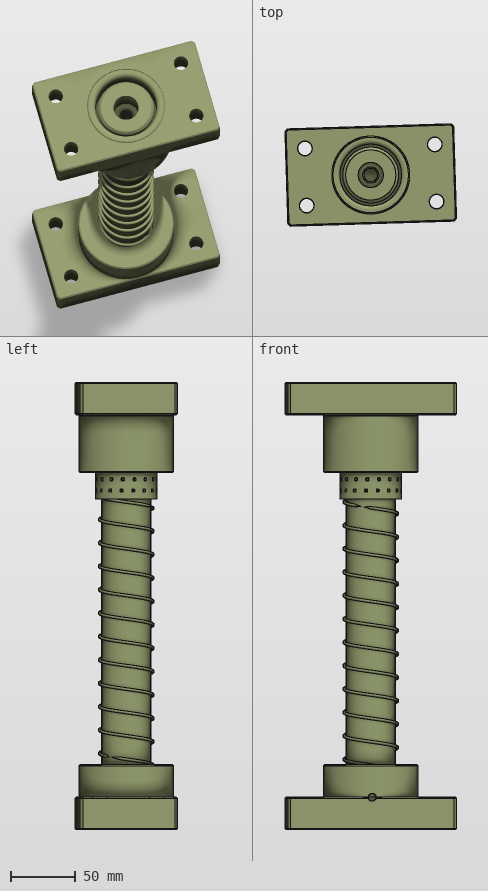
import cadquery as cq
import math

overall_height = 344.29
plate_thickness = 25.0
collar_height = 25.0
bushing_height = 44.5
cage_exposed = 20.3
pillar_head_height = 6.0
pillar_recess = 4.5

upper_plate_bottom = overall_height - plate_thickness
bushing_bottom = upper_plate_bottom - bushing_height
cage_bottom = bushing_bottom - cage_exposed
collar_top = plate_thickness + collar_height
pillar_top = overall_height - pillar_recess
pillar_head_bottom = pillar_top - pillar_head_height

plate_length = 130.0
plate_width = 75.0
plate_turn = 1.782
corner_chamfer = 2.0
edge_chamfer = 1.0
bolt_hole_diameter = 11.0
bolt_spacing_x = 100.0
bolt_spacing_y = 44.0

flange_diameter = 73.0
spigot_diameter = 60.0
rim_chamfer = 1.0
seat_chamfer = 0.8
bore_diameter = 47.5
bore_fillet = 3.2
pillar_diameter = 38.0
pillar_head_diameter = 43.0
pillar_head_chamfer = 2.2

pillar_bore_diameter = 19.4
pillar_bore_depth = 20.0
drill_diameter = 10.4
drill_countersink = 1.1
drill_depth = 30.0
drill_tip_angle = 118.0

cage_length = 70.0
pocket_diameter = 2.4
pockets_per_row = 16
pocket_row_pitch = 8.7
first_pocket_row = 6.5
pocket_start_angle = -9.2
pocket_row_twist = 2.5

wire_diameter = 2.2
spring_gap = 0.25
spring_pitch = 18.0
spring_phase = -52.0

lock_hole_diameter = 6.0
lock_hole_depth = 6.0


def cylinder(diameter, bottom, top):
    return cq.Workplane("XY").workplane(offset=bottom).circle(diameter / 2).extrude(top - bottom)


def make_plate(bottom):
    plate = (
        cq.Workplane("XY")
        .box(plate_length, plate_width, plate_thickness, centered=(True, True, False))
        .edges("|Z").chamfer(corner_chamfer)
        .faces("<Z or >Z").edges().chamfer(edge_chamfer)
        .faces(">Z").workplane()
        .rect(bolt_spacing_x, bolt_spacing_y, forConstruction=True)
        .vertices().hole(bolt_hole_diameter)
        .faces(">Z").workplane(origin=(0, 0, 0))
        .hole(spigot_diameter)
    )
    return plate.rotate((0, 0, 0), (0, 0, 1), plate_turn).translate((0, 0, bottom))


def make_seat_groove():
    collar_radius = flange_diameter / 2
    return (
        cq.Workplane("XZ")
        .moveTo(collar_radius, plate_thickness)
        .lineTo(collar_radius + seat_chamfer, plate_thickness)
        .lineTo(collar_radius, plate_thickness - seat_chamfer)
        .close()
        .revolve(360, (0, 0, 0), (0, 1, 0))
    )


def make_lock_hole():
    hole = (
        cq.Workplane("XZ", origin=(0, -plate_width / 2, plate_thickness))
        .circle(lock_hole_diameter / 2)
        .extrude(-lock_hole_depth)
    )
    return hole.rotate((0, 0, 0), (0, 0, 1), plate_turn)


def make_collar():
    flange = cylinder(flange_diameter, plate_thickness, collar_top)
    flange = flange.faces(">Z").edges().chamfer(rim_chamfer)
    spigot = cylinder(spigot_diameter, 0, plate_thickness)
    return flange.union(spigot).cut(cylinder(pillar_diameter, 0, collar_top))


def make_bushing():
    flange = cylinder(flange_diameter, bushing_bottom, upper_plate_bottom)
    flange = flange.faces("<Z or >Z").edges().chamfer(rim_chamfer)
    spigot = cylinder(spigot_diameter, upper_plate_bottom, overall_height)
    spigot = spigot.faces(">Z").edges().chamfer(rim_chamfer)
    bore = cylinder(bore_diameter, bushing_bottom, overall_height)
    bushing = flange.union(spigot).cut(bore)
    return bushing.faces(">Z").edges(cq.selectors.RadiusNthSelector(0)).fillet(bore_fillet)


def make_pillar():
    shank = cylinder(pillar_diameter, 0, pillar_head_bottom)
    head = cylinder(pillar_head_diameter, pillar_head_bottom, pillar_top)
    head = head.faces(">Z").edges().chamfer(pillar_head_chamfer)
    bore_floor = pillar_top - pillar_bore_depth
    drill_floor = bore_floor - drill_depth
    drill_radius = drill_diameter / 2
    tip_length = drill_radius / math.tan(math.radians(drill_tip_angle / 2))
    stepped_hole = (
        cq.Workplane("XZ")
        .moveTo(0, drill_floor - tip_length)
        .lineTo(drill_radius, drill_floor)
        .lineTo(drill_radius, bore_floor - drill_countersink)
        .lineTo(drill_radius + drill_countersink, bore_floor)
        .lineTo(pillar_bore_diameter / 2, bore_floor)
        .lineTo(pillar_bore_diameter / 2, pillar_top)
        .lineTo(0, pillar_top)
        .close()
        .revolve(360, (0, 0, 0), (0, 1, 0))
    )
    return shank.union(head).cut(stepped_hole)


def make_cage():
    cage_top = cage_bottom + cage_length
    cage = cylinder(bore_diameter, cage_bottom, cage_top).cut(cylinder(pillar_diameter, cage_bottom, cage_top))
    row_count = int((cage_length - first_pocket_row) / pocket_row_pitch) + 1
    pockets = []
    for row in range(row_count):
        height = cage_bottom + first_pocket_row + row * pocket_row_pitch
        for index in range(pockets_per_row):
            angle = math.radians(pocket_start_angle + row * pocket_row_twist + index * 360 / pockets_per_row)
            outward = cq.Vector(math.cos(angle), math.sin(angle), 0)
            pocket = cq.Solid.makeCylinder(
                pocket_diameter / 2, bore_diameter / 2, cq.Vector(0, 0, height), outward
            )
            pockets.append(pocket)
    return cage.cut(cq.Workplane(cq.Compound.makeCompound(pockets)))


def make_spring():
    coil_radius = pillar_diameter / 2 + spring_gap + wire_diameter / 2
    spring_length = cage_bottom - collar_top
    path_length = spring_length + 2 * wire_diameter
    path = cq.Wire.makeHelix(spring_pitch, path_length, coil_radius, lefthand=True)
    coil = cq.Workplane("XZ").center(coil_radius, 0).circle(wire_diameter / 2).sweep(path, isFrenet=True)
    coil = coil.rotate((0, 0, 0), (0, 0, 1), spring_phase)
    coil = coil.translate((0, 0, collar_top - wire_diameter))
    envelope = cylinder(flange_diameter, collar_top, cage_bottom)
    return coil.intersect(envelope)


lock_hole = make_lock_hole()
lower_plate = make_plate(0).cut(make_seat_groove()).cut(lock_hole)
upper_plate = make_plate(upper_plate_bottom)
collar = make_collar().cut(lock_hole)
bushing = make_bushing()
pillar = make_pillar()
cage = make_cage()
spring = make_spring()

bodies = [lower_plate, upper_plate, collar, bushing, pillar, cage, spring]
result = cq.Compound.makeCompound([body.solids().val() for body in bodies])